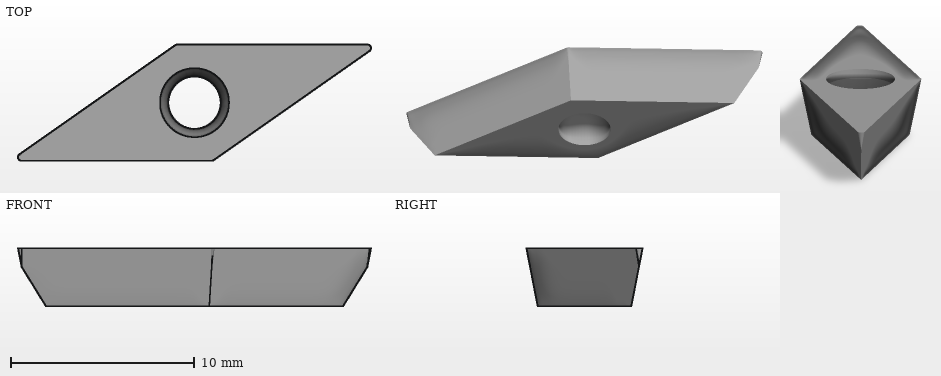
import cadquery as cq
import math

inscribed_circle = 6.35
thickness = 3.18
nose_angle = 35.0
clearance_angle = 11.0
corner_radius = 0.2
bore_diameter = 2.85
seat_diameter = 3.77
seat_land = 0.5
seat_arc_radius = 2.3

inset_per_depth = math.tan(math.radians(clearance_angle))
cone_depth = corner_radius / inset_per_depth
bore_radius = bore_diameter / 2
seat_radius = seat_diameter / 2


def rhombus_corners(width):
    """Corners of a rhombus with two sides along X, centred on the origin."""
    angle = math.radians(nose_angle)
    side = width / math.sin(angle)
    overhang = side * math.cos(angle)
    left = -(side + overhang) / 2
    half_width = width / 2
    return [
        (left, -half_width),
        (left + side, -half_width),
        (-left, half_width),
        (-left - side, half_width),
    ]


def tapered_body():
    """Sharp-cornered rhombus that narrows downwards by the clearance angle."""
    bottom_width = inscribed_circle - 2 * thickness * inset_per_depth
    return (
        cq.Workplane("XY")
        .polyline(rhombus_corners(bottom_width))
        .close()
        .workplane(offset=thickness)
        .polyline(rhombus_corners(inscribed_circle))
        .close()
        .loft(ruled=True)
    )


def polygon_face(points):
    """Flat face bounded by straight edges through the points."""
    return cq.Face.makeFromWires(cq.Wire.makePolygon(points, close=True))


def corner_trim(corner, previous_corner, next_corner):
    """Sliver of a sharp corner outside its rounding cone, whose point lies on the sharp edge."""
    to_previous = (previous_corner - corner).normalized()
    to_next = (next_corner - corner).normalized()
    half_angle = to_previous.getAngle(to_next) / 2
    tangent_length = corner_radius / math.tan(half_angle)
    center_distance = corner_radius / math.sin(half_angle)
    center = corner + (to_previous + to_next).normalized() * center_distance
    cone_point = center - cq.Vector(0, 0, cone_depth)

    kite = [
        center,
        corner + to_previous * tangent_length,
        corner,
        corner + to_next * tangent_length,
    ]
    faces = [polygon_face(kite)]
    for start, end in zip(kite, kite[1:] + kite[:1]):
        faces.append(polygon_face([start, end, cone_point]))
    pyramid = cq.Solid.makeSolid(cq.Shell.makeShell(faces))
    cone = cq.Solid.makeCone(0, corner_radius, cone_depth, pnt=cone_point, dir=cq.Vector(0, 0, 1))
    return cq.Workplane(obj=pyramid).cut(cq.Workplane(obj=cone))


def round_corners(body):
    """Round all four corners with cones that run out to sharp edges below the top face."""
    corners = [cq.Vector(x, y, thickness) for x, y in rhombus_corners(inscribed_circle)]
    acute, obtuse, opposite_acute, opposite_obtuse = corners
    trims = [
        corner_trim(acute, opposite_obtuse, obtuse),
        corner_trim(obtuse, acute, opposite_acute),
    ]
    for trim in trims:
        opposite_trim = trim.rotate((0, 0, 0), (0, 0, 1), 180)
        body = body.cut(trim).cut(opposite_trim)
    return body


def screw_hole():
    """Through bore that flares along a tangent arc into a screw seat with a short straight land on top."""
    seat_z = thickness - seat_land
    bend = math.acos(1 - (seat_radius - bore_radius) / seat_arc_radius)
    arc_bottom_z = seat_z - seat_arc_radius * math.sin(bend)
    arc_middle = (
        bore_radius + seat_arc_radius * (1 - math.cos(bend / 2)),
        arc_bottom_z + seat_arc_radius * math.sin(bend / 2),
    )
    return (
        cq.Workplane("XZ")
        .moveTo(0, 0)
        .lineTo(bore_radius, 0)
        .lineTo(bore_radius, arc_bottom_z)
        .threePointArc(arc_middle, (seat_radius, seat_z))
        .lineTo(seat_radius, thickness)
        .lineTo(0, thickness)
        .close()
        .revolve(360, (0, 0, 0), (0, 1, 0))
    )


result = round_corners(tapered_body()).cut(screw_hole()).solids()